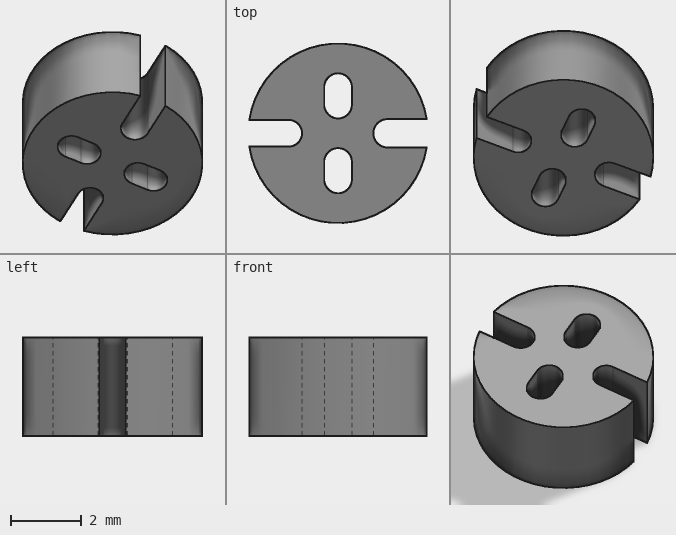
import cadquery as cq

diameter = 5.07
height = 2.79
radius = diameter / 2

left_slot_width = 0.745
left_slot_reach = 1.02
right_slot_width = 0.795
right_slot_reach = 1.0

hole_width = 0.775
hole_length = 1.27
hole_offset = 1.055


def side_slot(width, reach, direction):
    """Cutter running along X from its rounded end out past the rim."""
    length = radius + 1.5 * width - reach
    centre_x = direction * (reach + length / 2)
    return cq.Workplane("XY").center(centre_x, 0).slot2D(length, width).extrude(height)


body = cq.Workplane("XY").circle(radius).extrude(height)

through_slots = (
    cq.Workplane("XY")
    .pushPoints([(0, hole_offset), (0, -hole_offset)])
    .slot2D(hole_length, hole_width, 90)
    .extrude(height)
)

result = (
    body.cut(side_slot(left_slot_width, left_slot_reach, -1))
    .cut(side_slot(right_slot_width, right_slot_reach, 1))
    .cut(through_slots)
)